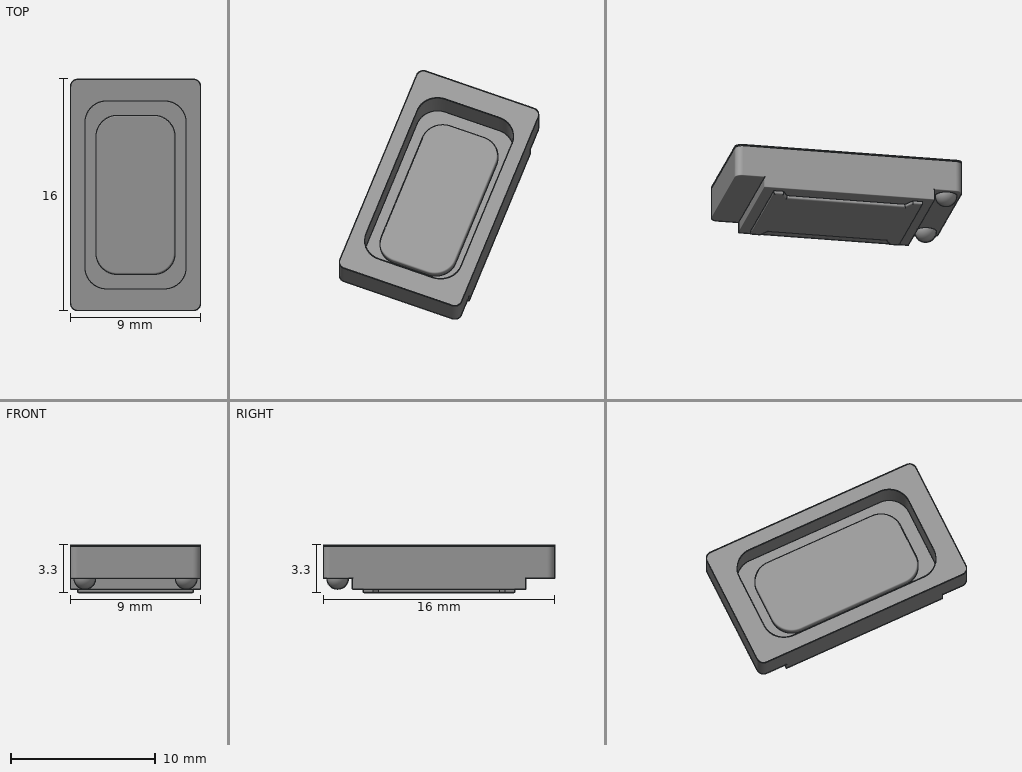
import cadquery as cq

length = 16.0
width = 9.0
height = 3.3
corner_radius = 0.5

gasket_thickness = 0.1
wing_depth = 2.3
block_depth = 3.05
cavity_depth = 2.2

cavity_width = 7.0
cavity_length = 13.0
cavity_radius = 1.5

panel_width = 5.49
panel_length = 11.0
panel_radius = 1.5
panel_rise = 0.4
panel_edge_radius = 0.11

block_length = 12.0
lower_edge_radius = 0.05

pad_width = 8.0
pad_length = 10.5
waist_length = 8.35
waist_ramp = 0.38
waist_inset = 0.75
pad_edge_radius = 0.1

bump_radius = 0.75
bump_x = 3.5
bump_y = -7.0

seam_z = height - gasket_thickness
wing_z = height - wing_depth
block_z = height - block_depth
floor_z = height - cavity_depth


def rounded_block(x_size, y_size, radius, z_low, z_high):
    """Upright block centred on the Z axis, with rounded vertical corners."""
    block = cq.Workplane("XY").workplane(offset=z_low).rect(x_size, y_size).extrude(z_high - z_low)
    return block.edges("|Z").fillet(radius)


def make_cavity():
    return rounded_block(cavity_width, cavity_length, cavity_radius, floor_z, height)


def make_panel():
    """Panel standing on the cavity floor, rounded along its upper rim."""
    panel = rounded_block(panel_width, panel_length, panel_radius, floor_z, floor_z + panel_rise)
    return panel.faces(">Z").edges().fillet(panel_edge_radius)


def make_pad():
    """Bottom pad with a waisted outline and rounded lower edges."""
    half_width = pad_width / 2
    half_length = pad_length / 2
    half_waist = waist_length / 2
    waist_x = half_width - waist_inset
    ramp_end = half_waist + waist_ramp
    right_side = [
        (half_width, -half_length),
        (half_width, -ramp_end),
        (waist_x, -half_waist),
        (waist_x, half_waist),
        (half_width, ramp_end),
        (half_width, half_length),
    ]
    left_side = [(-x, -y) for x, y in right_side]
    pad = cq.Workplane("XY").polyline(right_side + left_side).close().extrude(block_z)
    return pad.faces("<Z").edges().fillet(pad_edge_radius)


def make_bump(x):
    """Hemisphere hanging from the underside of the wing."""
    ball = cq.Workplane("XY").sphere(bump_radius)
    lower_half = cq.Workplane("XY").rect(2 * bump_radius, 2 * bump_radius).extrude(-bump_radius)
    return ball.intersect(lower_half).translate((x, bump_y, wing_z))


def make_shell():
    """Solid outer form: an upper slab over a central block, with rounded lower edges."""
    slab = rounded_block(width, length, corner_radius, wing_z, seam_z)
    block = cq.Workplane("XY").workplane(offset=block_z).rect(width, block_length).extrude(seam_z - block_z)
    shell = slab.union(block)

    below_wings = cq.selectors.BoxSelector((-width, -length, 0), (width, length, wing_z + lower_edge_radius))
    inner_corners = cq.selectors.BoxSelector(
        (-width / 4, -length / 2 + corner_radius, wing_z - lower_edge_radius),
        (width / 4, length / 2 - corner_radius, wing_z + lower_edge_radius),
    )
    return shell.edges(below_wings - inner_corners).fillet(lower_edge_radius)


def make_housing():
    body = make_shell().cut(make_cavity()).union(make_panel()).union(make_pad())
    for side in (-1, 1):
        body = body.union(make_bump(side * bump_x))
    return body


def make_gasket():
    """Thin ring on the housing's rim."""
    ring = rounded_block(width, length, corner_radius, seam_z, height)
    return ring.cut(make_cavity())


housing = make_housing()
gasket = make_gasket()

result = cq.Compound.makeCompound([housing.val(), gasket.val()])